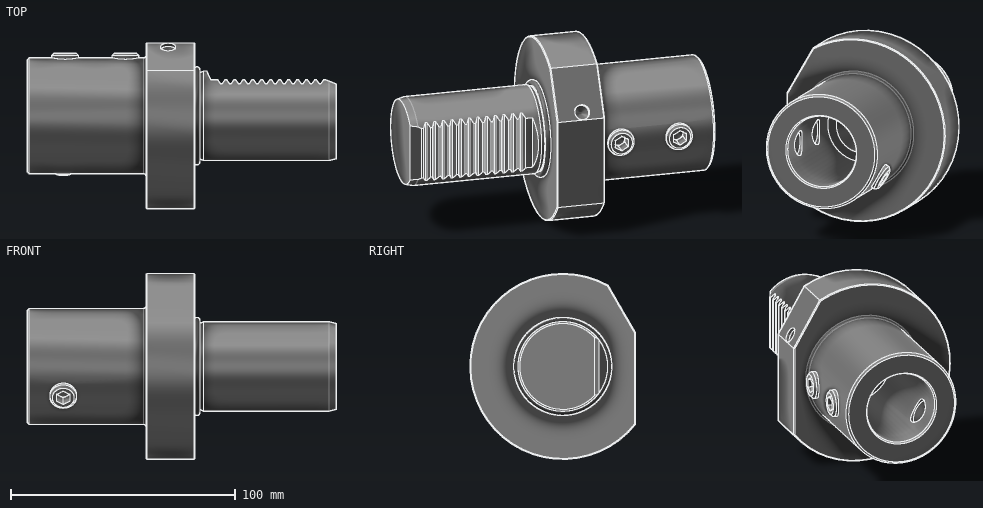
import cadquery as cq
import math

drill_point_angle = 118.0

total_length = 138.0
flange_start = 53.0
flange_end = 75.0
shank_start = 78.8
shank_taper_length = 3.3

sleeve_radius = 26.0
sleeve_chamfer = 1.0
root_fillet = 1.0
flange_diameter = 83.0
flange_radius = flange_diameter / 2
flange_chamfer = 0.4
flange_depth = 74.0
side_flat_distance = flange_depth - flange_radius
slanted_flat_distance = 35.6
slanted_flat_angle = 30.0

bore_radius = 16.0
bore_depth = 62.1
bore_chamfer_length = 1.1
bore_chamfer_width = 0.5
drill_point_radius = 12.0

shank_radius = 20.0
shank_end_radius = 19.2
neck_radius = 19.3
toothed_flat_height = 16.1
tooth_ramp_start = 80.2
tooth_ramp_end = 82.0
first_groove_center = 86.7
groove_count = 12
groove_pitch = 4.0
groove_depth = 1.8
groove_top_width = 3.2
groove_floor_width = 0.7
end_slope_start = 133.2
end_slope_height = 14.2

ring_section_radius = 1.4
ring_outer_radius = 22.0
ring_center_x = 75.8

screw_radius = 12.0 / 2
screw_top_distance = 28.0
screw_chamfer = 1.1
screw_tip_distance = 16.8
screw_recess_radius = 11.2 / 2
socket_across_flats = 6.0
socket_depth = 6.0
side_screw_positions = (17.0, 43.9)
angled_screw_position = 16.1
side_screw_angle = 0.0
angled_screw_angle = 210.0

coolant_hole_radius = 6.8 / 2
coolant_hole_x = 62.9
coolant_hole_from_edge = 3.6
coolant_hole_depth = 1.7


def radial_plane(x, angle, distance):
    """Plane facing outward from the X axis; the angle runs from +Y towards +Z."""
    radians = math.radians(angle)
    normal = cq.Vector(0, math.cos(radians), math.sin(radians))
    origin = cq.Vector(x, 0, 0) + normal * distance
    return cq.Plane(origin=origin, xDir=cq.Vector(1, 0, 0), normal=normal)


def drill_point_length(radius):
    """Height of the cone that a drill of this radius leaves."""
    return radius / math.tan(math.radians(drill_point_angle / 2))


def make_drill_point(plane, radius, depth):
    """Cone that closes a hole at the given depth below a plane."""
    base = plane.origin - plane.zDir * depth
    length = drill_point_length(radius)
    return cq.Workplane(cq.Solid.makeCone(radius, 0, length, base, -plane.zDir))


def make_flange():
    """Disc with a side flat and a slanted flat, chamfered around both faces."""
    disc = (
        cq.Workplane("YZ", origin=(flange_start, 0, 0))
        .circle(flange_radius)
        .extrude(flange_end - flange_start)
    )
    disc = disc.cut(make_flange_cut(0, side_flat_distance))
    disc = disc.cut(make_flange_cut(slanted_flat_angle, slanted_flat_distance))
    return disc.faces("<X or >X").chamfer(flange_chamfer)


def make_turned_blank():
    """Sleeve and shank as one turned shape that runs through the flange."""
    profile = (
        cq.Workplane("XY")
        .moveTo(0, 0)
        .lineTo(0, sleeve_radius - sleeve_chamfer)
        .lineTo(sleeve_chamfer, sleeve_radius)
        .lineTo(flange_start - root_fillet, sleeve_radius)
        .radiusArc((flange_start, sleeve_radius + root_fillet), -root_fillet)
        .lineTo(flange_end, sleeve_radius + root_fillet)
        .lineTo(flange_end, neck_radius)
        .lineTo(ring_center_x + ring_section_radius, neck_radius)
        .lineTo(shank_start, shank_radius)
        .lineTo(total_length - shank_taper_length, shank_radius)
        .lineTo(total_length, shank_end_radius)
        .lineTo(total_length, 0)
        .close()
    )
    return profile.revolve(360, (0, 0, 0), (1, 0, 0))


def make_bore():
    """Stepped bore with a chamfered mouth and a conical drill point."""
    point_length = drill_point_length(drill_point_radius)
    profile = (
        cq.Workplane("XY")
        .moveTo(0, 0)
        .lineTo(0, bore_radius + bore_chamfer_width)
        .lineTo(bore_chamfer_length, bore_radius)
        .lineTo(bore_depth, bore_radius)
        .lineTo(bore_depth, drill_point_radius)
        .lineTo(bore_depth + point_length, 0)
        .close()
    )
    return profile.revolve(360, (0, 0, 0), (1, 0, 0))


def make_flange_cut(angle, distance):
    """Block that trims the flange to a flat at the given angle and distance."""
    middle = (flange_start + flange_end) / 2
    width = flange_end - flange_start
    plane = radial_plane(middle, angle, distance)
    return cq.Workplane(plane).rect(width, flange_diameter).extrude(flange_radius)


def make_coolant_hole():
    """Blind hole square to the slanted flat, beside its edge with the side flat."""
    slant = math.radians(slanted_flat_angle)
    edge_offset = (side_flat_distance - slanted_flat_distance * math.cos(slant)) / math.sin(slant)
    plane = radial_plane(coolant_hole_x, slanted_flat_angle, slanted_flat_distance)
    plane.origin += plane.yDir * (edge_offset - coolant_hole_from_edge)
    hole = cq.Workplane(plane).circle(coolant_hole_radius).extrude(-coolant_hole_depth)
    return hole.union(make_drill_point(plane, coolant_hole_radius, coolant_hole_depth))


def make_tooth_cut():
    """Region removed from the +Y side of the shank, leaving a row of teeth."""
    groove_floor = toothed_flat_height - groove_depth
    outline = [(tooth_ramp_start, shank_radius), (tooth_ramp_end, toothed_flat_height)]
    for index in range(groove_count):
        center = first_groove_center + index * groove_pitch
        outline += [
            (center - groove_top_width / 2, toothed_flat_height),
            (center - groove_floor_width / 2, groove_floor),
            (center + groove_floor_width / 2, groove_floor),
            (center + groove_top_width / 2, toothed_flat_height),
        ]
    outline += [
        (end_slope_start, toothed_flat_height),
        (total_length, end_slope_height),
        (total_length, shank_radius),
    ]
    return cq.Workplane("XY").polyline(outline).close().extrude(shank_radius, both=True)


def make_screw(x, angle):
    """Chamfered clamping screw reaching from its outer face towards the bore."""
    length = screw_top_distance - screw_tip_distance
    plane = radial_plane(x, angle, screw_top_distance)
    screw = cq.Workplane(plane).circle(screw_radius).extrude(-length)
    return screw.faces(cq.selectors.DirectionMinMaxSelector(plane.zDir)).chamfer(screw_chamfer)


def make_screw_recess(x, angle):
    """Pocket in the bore wall that ends at the tip of a screw."""
    plane = radial_plane(x, angle, 0)
    return cq.Workplane(plane).circle(screw_recess_radius).extrude(screw_tip_distance)


def make_socket(x, angle):
    """Hexagon socket with two flats square to the X axis and a conical bottom."""
    corner_diameter = socket_across_flats / math.cos(math.radians(30))
    plane = radial_plane(x, angle, screw_top_distance)
    socket = (
        cq.Workplane(plane)
        .transformed(rotate=(0, 0, 30))
        .polygon(6, corner_diameter)
        .extrude(-socket_depth)
    )
    return socket.union(make_drill_point(plane, socket_across_flats / 2, socket_depth))


def make_seal_ring():
    """Round-section ring that sits in the corner of flange and shank."""
    center_radius = ring_outer_radius - ring_section_radius
    return (
        cq.Workplane("XY")
        .center(ring_center_x, center_radius)
        .circle(ring_section_radius)
        .revolve(360, (0, -center_radius, 0), (1, -center_radius, 0))
    )


def make_holder(ring):
    """Complete holder with its screws, recessed to take the seal ring."""
    screw_places = [(x, side_screw_angle) for x in side_screw_positions]
    screw_places.append((angled_screw_position, angled_screw_angle))

    holder = make_turned_blank().union(make_flange())
    holder = holder.cut(make_coolant_hole())
    holder = holder.cut(make_tooth_cut())
    holder = holder.cut(make_bore())
    for x, angle in screw_places:
        holder = holder.union(make_screw(x, angle))
        holder = holder.cut(make_screw_recess(x, angle))
        holder = holder.cut(make_socket(x, angle))
    return holder.cut(ring)


seal_ring = make_seal_ring()
holder = make_holder(seal_ring)

result = cq.Compound.makeCompound([holder.solids().val(), seal_ring.solids().val()])